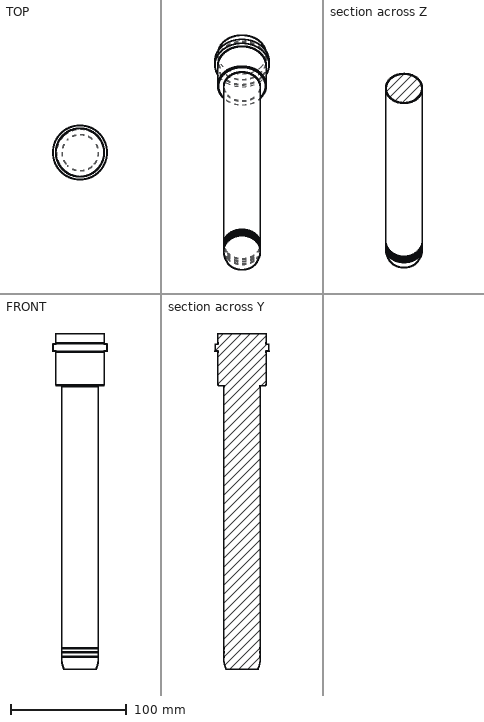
import cadquery as cq

total_length = 290.0
shaft_diameter = 32.0
head_diameter = 42.0
collar_diameter = 47.0

collar_top_depth = 9.0
collar_bottom_depth = 15.0
collar_fillet = 0.5
head_length = 45.2
head_chamfer = 1.0

undercut_width = 1.0
undercut_depth = 0.44

groove_count = 3
groove_width = 1.0
groove_depth = 0.5
groove_pitch = 3.8
highest_groove_bottom = 18.0

tip_height = 7.5
tip_diameter = 27.8
tip_bulge = 0.3
tip_fillet = 1.0

collar_top = total_length - collar_top_depth
collar_bottom = total_length - collar_bottom_depth
head_bottom = total_length - head_length


def cylinder(diameter, bottom, top):
    """Solid cylinder on the Z axis between two heights."""
    return cq.Workplane("XY").workplane(offset=bottom).circle(diameter / 2).extrude(top - bottom)


def lead_in():
    """Tip whose side curves outward from the rounded end face to the shaft."""
    shaft_radius = shaft_diameter / 2
    tip_radius = tip_diameter / 2
    side_middle = ((shaft_radius + tip_radius) / 2 + tip_bulge, tip_height / 2)
    tip = (
        cq.Workplane("XZ")
        .lineTo(tip_radius, 0)
        .threePointArc(side_middle, (shaft_radius, tip_height))
        .lineTo(0, tip_height)
        .close()
        .revolve(360, (0, 0, 0), (0, 1, 0))
    )
    return tip.faces("<Z").edges().fillet(tip_fillet)


def ring_cutter(diameter, depth, bottom, width):
    """Ring that cuts a groove of the given depth into a cylinder of the given diameter."""
    top = bottom + width
    core = cylinder(diameter - 2 * depth, bottom, top)
    return cylinder(collar_diameter, bottom, top).cut(core)


shaft = cylinder(shaft_diameter, tip_height, total_length)
head = cylinder(head_diameter, head_bottom, total_length)
head = head.faces("<Z").edges().chamfer(head_chamfer)
collar = cylinder(collar_diameter, collar_bottom, collar_top)
collar = collar.faces(">Z").edges().fillet(collar_fillet)
result = lead_in().union(shaft).union(head).union(collar)

undercuts = (
    (head_diameter, collar_top),
    (head_diameter, collar_bottom - undercut_width),
    (shaft_diameter, head_bottom - undercut_width),
)
for diameter, bottom in undercuts:
    result = result.cut(ring_cutter(diameter, undercut_depth, bottom, undercut_width))

for index in range(groove_count):
    groove_bottom = highest_groove_bottom - index * groove_pitch
    result = result.cut(ring_cutter(shaft_diameter, groove_depth, groove_bottom, groove_width))